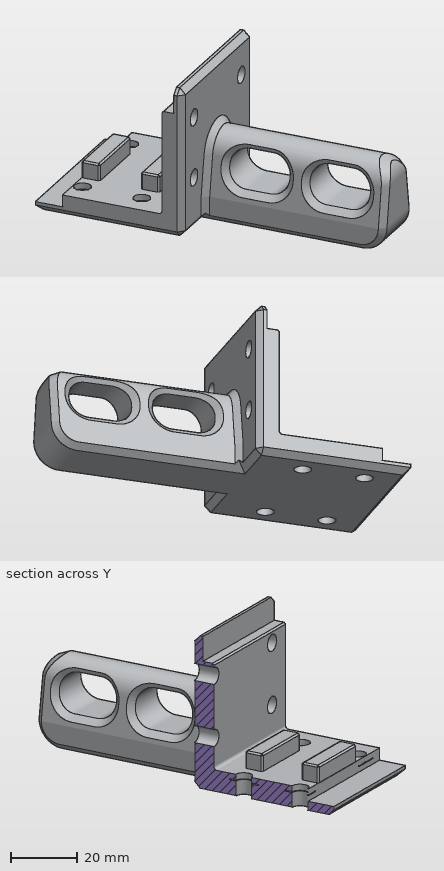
import cadquery as cq
import math

length = 109.0
width = 50.0
height = 49.0
bevel = 2.0

plate_thickness = 7.0
lip_thickness = 3.0
lip_length = 9.0
rim_height = 8.0
back_x = 49.0
inner_x = back_x - plate_thickness
step_z = height - rim_height
foot_fillet = 1.0
small_bevel = 0.5

hole_diameter = 5.3
hole_y = 17.0
base_hole_xs = (12.0, 31.7)
upright_hole_zs = (17.1, 37.1)
slit_diameter = 10.0
slit_height = 0.2
slit_z = 4.9

block_size_x = 6.1
block_size_y = 22.3
block_height = 5.6

handle_width = 20.0
handle_half_width = handle_width / 2
handle_side_height = 8.2
handle_top_radius = 8.0
handle_height = 28.0
end_radius = handle_side_height
handle_start_x = back_x - bevel

slot_length = 20.1
slot_height = 12.5
slot_corner_radius = 6.0
slot_z = 18.0
slot_xs = (66.0, 92.8)

slack = 0.1


def make_bracket():
    """L-shaped profile with a thin lip on the base and a thin rim on the upright."""
    profile = (
        cq.Workplane("XZ", origin=(0, width / 2, 0))
        .polyline([
            (0, 0),
            (back_x, 0),
            (back_x, height),
            (back_x - lip_thickness, height),
            (back_x - lip_thickness, step_z),
            (inner_x, step_z),
            (inner_x, plate_thickness),
            (lip_length, plate_thickness),
            (lip_length, lip_thickness),
            (0, lip_thickness),
        ])
        .close()
        .extrude(width)
    )
    inner_corner = cq.selectors.NearestToPointSelector((inner_x, 0, plate_thickness))
    step_corner = cq.selectors.NearestToPointSelector((inner_x, 0, step_z))
    rounded = profile.edges("|Y").edges(inner_corner).fillet(foot_fillet)
    rounded = rounded.edges("|Y").edges(step_corner).chamfer(small_bevel)
    bottom_edges = rounded.faces("<Z").edges()
    rim_corners = rounded.faces(">Z").edges("|X")
    back_edges = rounded.faces(">X").edges()
    return rounded.newObject(bottom_edges.vals() + rim_corners.vals() + back_edges.vals()).chamfer(bevel)


def make_handle():
    """Handle: tapered, round-topped section cut to a side profile with a rounded end."""
    arc_z = handle_height - handle_top_radius
    drop = arc_z - handle_side_height
    reach = math.hypot(handle_half_width, drop)
    angle = math.acos(handle_top_radius / reach) - math.atan2(drop, handle_half_width)
    tangent_y = handle_top_radius * math.cos(angle)
    tangent_z = arc_z + handle_top_radius * math.sin(angle)
    section = (
        cq.Workplane("YZ", origin=(handle_start_x, 0, 0))
        .moveTo(-handle_half_width, 0)
        .lineTo(handle_half_width, 0)
        .lineTo(handle_half_width, handle_side_height)
        .lineTo(tangent_y, tangent_z)
        .threePointArc((0, handle_height), (-tangent_y, tangent_z))
        .lineTo(-handle_half_width, handle_side_height)
        .close()
        .extrude(length - handle_start_x)
    )

    round_x = length - end_radius
    end_round_z = tangent_z
    top_rise = handle_height - end_round_z
    top_angle = math.asin(top_rise / end_radius)
    top_x = round_x + end_radius * math.cos(top_angle)
    half_angle = top_angle / 2
    diagonal = end_radius * math.sqrt(0.5)
    side_profile = (
        cq.Workplane("XZ", origin=(0, handle_half_width, 0))
        .moveTo(handle_start_x, 0)
        .lineTo(round_x, 0)
        .threePointArc((round_x + diagonal, end_radius - diagonal), (length, end_radius))
        .lineTo(length, end_round_z)
        .threePointArc(
            (round_x + end_radius * math.cos(half_angle), end_round_z + end_radius * math.sin(half_angle)),
            (top_x, handle_height),
        )
        .lineTo(handle_start_x, handle_height)
        .close()
        .extrude(handle_width)
    )
    handle = section.intersect(side_profile)

    lower_zone = cq.selectors.BoxSelector(
        (handle_start_x + slack, -width, -slack),
        (length + slack, width, handle_side_height - slack),
    )
    upper_zone = cq.selectors.BoxSelector(
        (top_x, -width, handle_side_height + slack),
        (length + slack, width, handle_height + slack),
    )
    lower_bevelled = handle.edges(lower_zone).edges("not |Y").chamfer(bevel)
    upper_bevelled = handle.edges(upper_zone).edges("not |Y").chamfer(bevel)
    return lower_bevelled.intersect(upper_bevelled)


def bevel_root(body):
    """Flare the handle where it leaves the back of the upright."""
    root_zone = cq.selectors.BoxSelector(
        (back_x - slack, -handle_half_width - slack, 0),
        (back_x + slack, handle_half_width + slack, handle_height + slack),
    )
    return body.edges(root_zone).chamfer(bevel)


def cut_slots(body):
    """Cut the two finger slots across the handle and bevel their mouths on both sides."""
    slots = (
        cq.Workplane("XZ", origin=(0, handle_half_width, slot_z))
        .pushPoints([(x, 0) for x in slot_xs])
        .rect(slot_length, slot_height)
        .extrude(handle_width)
        .edges("|Y")
        .fillet(slot_corner_radius)
    )
    body = body.cut(slots)
    mouths = []
    for x in slot_xs:
        mouth_zone = cq.selectors.BoxSelector(
            (x - slot_length / 2 - slack, -handle_half_width, slot_z - slot_height / 2 - slack),
            (x + slot_length / 2 + slack, handle_half_width, slot_z + slot_height / 2 + slack),
        )
        mouths += body.edges(mouth_zone).edges("not |Y").vals()
    return body.newObject(mouths).chamfer(bevel)


def add_blocks(body):
    """Stand a bevelled locating block between each pair of base holes."""
    for x in base_hole_xs:
        block = (
            cq.Workplane("XY", origin=(x, 0, plate_thickness))
            .rect(block_size_x, block_size_y)
            .extrude(block_height)
            .edges("|Z or >Z")
            .chamfer(small_bevel)
        )
        body = body.union(block)
    return body


def cut_holes(body):
    """Drill both plates; each base hole also has a thin disc-shaped slit around it."""
    base_points = [(x, y) for x in base_hole_xs for y in (-hole_y, hole_y)]
    base_holes = (
        cq.Workplane("XY")
        .pushPoints(base_points)
        .circle(hole_diameter / 2)
        .extrude(plate_thickness)
    )
    slits = (
        cq.Workplane("XY", origin=(0, 0, slit_z - slit_height / 2))
        .pushPoints(base_points)
        .circle(slit_diameter / 2)
        .extrude(slit_height)
    )
    upright_holes = (
        cq.Workplane("YZ", origin=(inner_x, 0, 0))
        .pushPoints([(y, z) for y in (-hole_y, hole_y) for z in upright_hole_zs])
        .circle(hole_diameter / 2)
        .extrude(plate_thickness)
    )
    return body.cut(base_holes).cut(slits).cut(upright_holes)


body = make_bracket().union(make_handle())
body = cut_slots(bevel_root(body))
result = cut_holes(add_blocks(body))